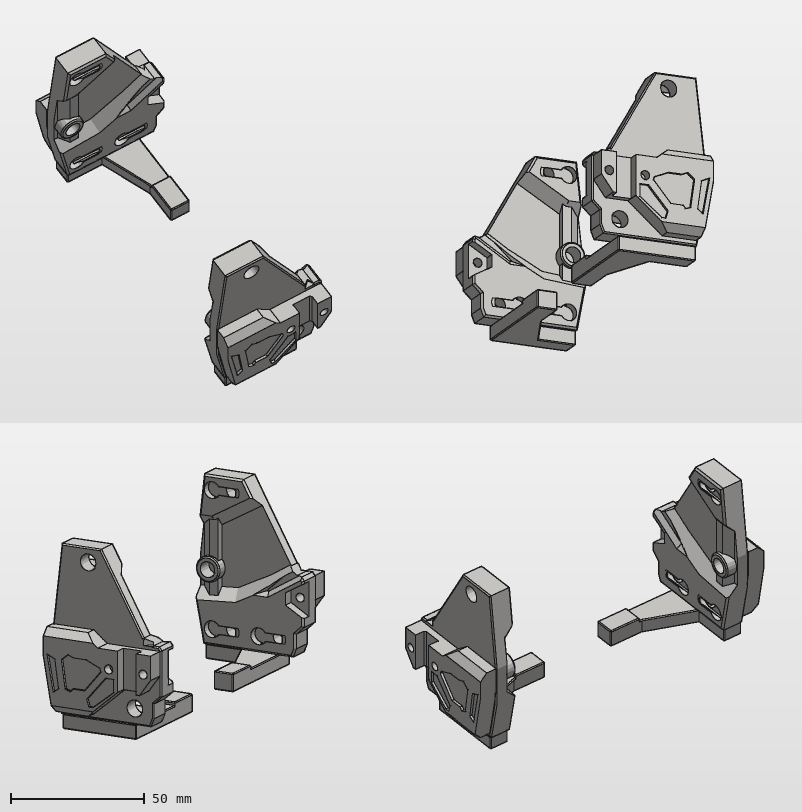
import cadquery as cq


cover_outer_x = -67.0
cover_thickness = 7.4
plate_thickness = 9.8
plate_outer_x = cover_outer_x + cover_thickness
plate_inner_x = plate_outer_x + plate_thickness

plate_depth = 46.5
plate_top = 72.0
plate_bottom = 5.9
plate_outline = [
    (3.7, plate_top),
    (0, 39.8),
    (0, 24.0),
    (3.5, plate_bottom),
    (41.8, plate_bottom),
    (43.1, 9.2),
    (43.1, 15.0),
    (plate_depth, 18.1),
    (plate_depth, 36.0),
    (45.4, 37.5),
    (42.8, 37.5),
    (38.8, 40.0),
    (20.6, plate_top),
]
outer_edge_chamfer = 0.5
inner_edge_chamfer = 0.8

trench_depth = 4.5
trench_outline = [
    (-8, 22.1),
    (17.4, 24.0),
    (25.5, 28.0),
    (32.1, 31.2),
    (53.5, 44.2),
    (53.5, 82.3),
    (7.2, 56.1),
    (-8, 56.1),
]
shelf_depth = 1.9
shelf_outline = [
    (24.8, 27.8),
    (31.2, 27.8),
    (53.5, 41.2),
    (53.5, 53.5),
]

rib_height = 2.8
rib_back_y = 9.1
rib_front_y = 5.4
ramp_foot_y = 1.6

boss_y = 5.5
boss_z = 35.1
boss_diameter = 10.0
boss_hole_diameter = 6.2
boss_hole_depth = 6.7
boss_chamfer = 0.5

front_hanger_y = 15.1
back_hanger_y = 35.1
upper_hanger_z = 66.3
lower_hanger_z = 12.2
hanger_places = [
    (front_hanger_y, upper_hanger_z),
    (front_hanger_y, lower_hanger_z),
    (back_hanger_y, lower_hanger_z),
]
entry_diameter = 6.5
channel_width = 7.2
neck_width = 3.3
hanger_travel = 7.8
neck_overtravel = 0.7
neck_corner_radius = 1.1
hanger_lip = 0.4
hanger_depth = 3.2

corner_notch_outline = [(0, 43.2), (2.7, 41.6), (0, 38.8)]
corner_notch_floor = 37.2
corner_notch_height = 4.0

screw_y = 42.7
screw_z = 28.2
screw_diameter = 3.5
nut_pocket_depth = 4.3
nut_pocket_outline = [
    (38.8, 25.8),
    (48.2, 20.5),
    (48.2, 36.0),
    (38.8, 30.7),
]

cover_back_y = 45.9
cover_top = 40.4
cover_bottom = 7.9
shoulder_z = 35.9
flange_bottom = 19.8
cover_outline = [
    (0, cover_top),
    (0, 29.7),
    (3.9, cover_bottom),
    (17.8, cover_bottom),
    (31.9, flange_bottom),
    (41.1, flange_bottom),
    (cover_back_y, 26.4),
    (cover_back_y, shoulder_z),
    (23.3, shoulder_z),
    (17.5, cover_top),
]
cover_chamfer = 3.0
notch_front_y = 31.7
notch_back_y = 39.8
notch_depth = 4.5
notch_corner_chamfer = 0.7

blind_hole_y = 28.0
blind_hole_depth = 4.0

relief_depth = 1.1
shield_relief = [
    (24.6, 26.9),
    (24.1, 28.2),
    (18.3, 30.7),
    (13.0, 30.7),
    (10.6, 31.6),
    (7.8, 29.3),
    (9.4, 18.1),
    (11.5, 17.3),
    (12.5, 18.5),
    (17.5, 18.5),
]
corner_relief = [
    (30.1, 24.6),
    (30.1, 19.5),
    (21.2, 12.5),
    (19.5, 12.5),
    (18.6, 15.4),
    (26.6, 24.6),
]
edge_relief = [
    (5.0, 29.2),
    (1.6, 30.7),
    (4.3, 16.2),
    (6.5, 17.8),
]

arm_thickness = plate_bottom
base_outer_x = plate_outer_x + 0.4
base_inner_x = -51.0
base_front_y = 3.9
arm_back_y = 35.5
tip_x = -15.5
tip_front_y = 27.2
taper_end_x = -30.3
taper_start_y = 19.1
pad_start_x = -29.2
pad_top = 7.2
arm_chamfer = 0.4


def prism(x_start, outline, length):
    """Extrude an outline of (Y, Z) points in +X from the given X."""
    return cq.Workplane("YZ", origin=(x_start, 0, 0)).polyline(outline).close().extrude(length)


def rod(x_start, y, z, diameter, length):
    """Round bar along X, starting at the given X."""
    return cq.Workplane("YZ", origin=(x_start, y, z)).circle(diameter / 2).extrude(length)


def block(x_range, y_range, z_range):
    """Box between the given limits."""
    sizes = [high - low for low, high in (x_range, y_range, z_range)]
    return cq.Workplane("XY").box(*sizes, centered=False).translate((x_range[0], y_range[0], z_range[0]))


def flared_pocket(outline, depth):
    """Cutter that enters the inner face at the outline and narrows at 45 degrees."""
    face = cq.Workplane("YZ", origin=(plate_inner_x, 0, 0)).polyline(outline).close()
    return face.extrude(-depth, taper=45)


def trench_cutter():
    floor_x = plate_inner_x - trench_depth
    pocket = flared_pocket(trench_outline, trench_depth)
    shelf = flared_pocket(shelf_outline, shelf_depth)
    rib_profile = [
        (floor_x, ramp_foot_y),
        (floor_x + rib_height, rib_front_y),
        (floor_x + rib_height, rib_back_y),
        (floor_x, rib_back_y),
    ]
    rib = cq.Workplane("XY").polyline(rib_profile).close().extrude(plate_top)
    return pocket.cut(rib).union(shelf)


def hanger_cutter(y, z):
    """Keyhole slot with a round entry toward the front, and an access hole from the outer face."""
    entry_y = y - hanger_travel
    back_x = plate_inner_x - hanger_depth
    lip_x = plate_inner_x - hanger_lip
    slope_x = lip_x - (channel_width - neck_width) / 2

    entry = rod(back_x, entry_y, z, entry_diameter, hanger_depth)
    access = rod(plate_outer_x, y, z, entry_diameter, slope_x - plate_outer_x)
    neck = block(
        (back_x, plate_inner_x),
        (entry_y, y + neck_width / 2 + neck_overtravel),
        (z - neck_width / 2, z + neck_width / 2),
    )
    neck = neck.edges(">Y and |X").fillet(neck_corner_radius)

    channel_profile = [
        (back_x, z - channel_width / 2),
        (slope_x, z - channel_width / 2),
        (lip_x, z - neck_width / 2),
        (lip_x, z + neck_width / 2),
        (slope_x, z + channel_width / 2),
        (back_x, z + channel_width / 2),
    ]
    channel = cq.Workplane("XZ", origin=(0, entry_y, 0)).polyline(channel_profile).close()
    channel = channel.extrude(-hanger_travel - channel_width / 2)

    round_end = rod(back_x, y, z, channel_width, hanger_depth)
    straight = block(
        (back_x, plate_inner_x),
        (entry_y, y),
        (z - channel_width / 2, z + channel_width / 2),
    )
    channel = channel.intersect(round_end.union(straight))
    return entry.union(access).union(neck).union(channel)


def make_plate():
    plate = prism(plate_outer_x, plate_outline, plate_thickness)
    plate = plate.faces("<X").chamfer(outer_edge_chamfer)
    plate = plate.faces(">X").chamfer(inner_edge_chamfer)
    plate = plate.cut(trench_cutter())

    boss = rod(plate_inner_x - trench_depth, boss_y, boss_z, boss_diameter, trench_depth)
    plate = plate.union(boss.faces(">X").chamfer(boss_chamfer))
    plate = plate.cut(rod(plate_inner_x, boss_y, boss_z, boss_hole_diameter, -boss_hole_depth))

    for y, z in hanger_places:
        plate = plate.cut(hanger_cutter(y, z))

    corner_notch = (
        cq.Workplane("XY", origin=(plate_outer_x, 0, corner_notch_floor))
        .polyline(corner_notch_outline)
        .close()
        .extrude(corner_notch_height)
    )
    plate = plate.cut(corner_notch)

    plate = plate.cut(rod(plate_outer_x, screw_y, screw_z, screw_diameter, plate_thickness))
    return plate.cut(prism(plate_inner_x, nut_pocket_outline, -nut_pocket_depth))


def make_cover():
    cover = prism(cover_outer_x, cover_outline, cover_thickness)
    cover = cover.faces("<X").edges(">Z or <Z").chamfer(cover_chamfer)

    notch = block(
        (cover_outer_x, cover_outer_x + notch_depth),
        (notch_front_y, notch_back_y),
        (flange_bottom, shoulder_z),
    )
    cover = cover.cut(notch.edges("|Z and >X and >Y").chamfer(notch_corner_chamfer))

    cover = cover.cut(rod(cover_outer_x, screw_y, screw_z, screw_diameter, cover_thickness))
    cover = cover.cut(rod(cover_outer_x, blind_hole_y, screw_z, screw_diameter, blind_hole_depth))
    for outline in (shield_relief, corner_relief, edge_relief):
        cover = cover.cut(prism(cover_outer_x, outline, relief_depth))
    return cover


def make_arm():
    plan = [
        (base_outer_x, base_front_y),
        (base_inner_x, base_front_y),
        (base_inner_x, taper_start_y),
        (taper_end_x, tip_front_y),
        (tip_x, tip_front_y),
        (tip_x, arm_back_y),
        (base_outer_x, arm_back_y),
    ]
    arm = cq.Workplane("XY").polyline(plan).close().extrude(arm_thickness)
    arm = arm.edges("|Z and (<X or >X or <Y)").chamfer(arm_chamfer)
    arm = arm.faces("<Z or >Z").chamfer(arm_chamfer)

    pad = block((pad_start_x, tip_x), (tip_front_y, arm_back_y), (0, pad_top))
    pad = pad.edges("|Z and >X").chamfer(arm_chamfer)
    pad = pad.faces("<Z or >Z").chamfer(arm_chamfer)
    return arm.union(pad)


bodies = []
for make_body in (make_plate, make_cover, make_arm):
    body = make_body()
    bodies.append(body.val())
    bodies.append(body.mirror("YZ").val())

result = cq.Compound.makeCompound(bodies)